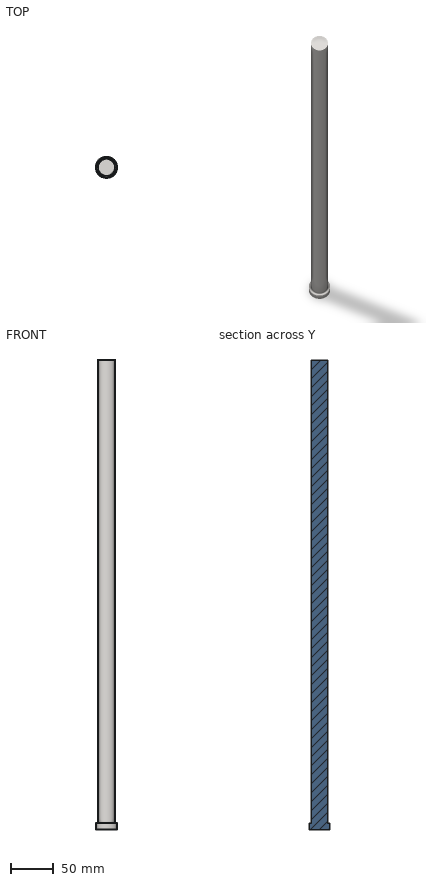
import cadquery as cq

total_length = 550.0
head_diameter = 25.0
head_height = 8.0
shaft_diameter = 20.0

rim_chamfer = 0.5
neck_fillet = 0.5

head_radius = head_diameter / 2
shaft_radius = shaft_diameter / 2


def pin_half_profile():
    """Closed outline of the pin from the axis outward, in the XZ plane."""
    return (
        cq.Workplane("XZ")
        .lineTo(head_radius - rim_chamfer, 0)
        .lineTo(head_radius, rim_chamfer)
        .lineTo(head_radius, head_height - rim_chamfer)
        .lineTo(head_radius - rim_chamfer, head_height)
        .lineTo(shaft_radius + neck_fillet, head_height)
        .radiusArc((shaft_radius, head_height + neck_fillet), neck_fillet)
        .lineTo(shaft_radius, total_length)
        .lineTo(0, total_length)
        .close()
    )


result = pin_half_profile().revolve(360, (0, 0), (0, 1))